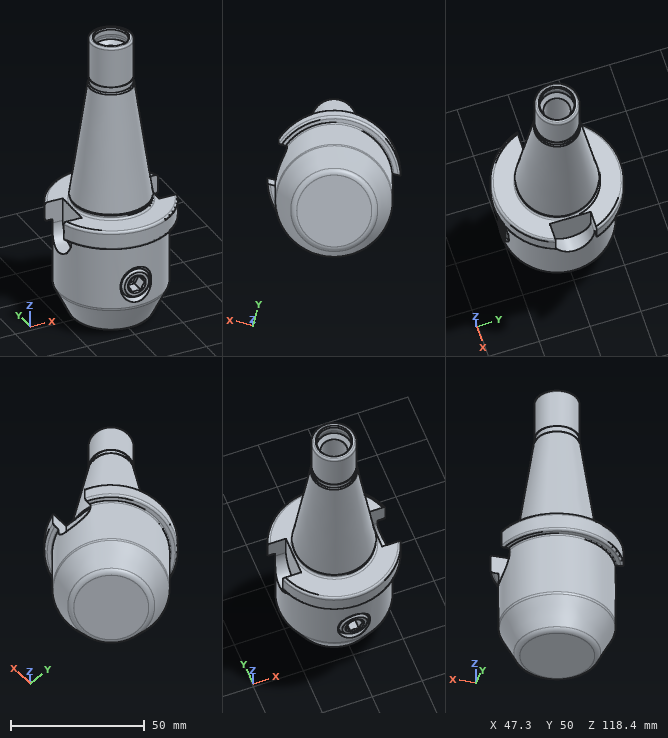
import cadquery as cq
import math

TAPER_RATIO = 7 / 24
GAUGE_DIA = 31.75
TAPER_LENGTH = 48.4
SHANK_LENGTH = 68.4
NOSE_LENGTH = 50.0

PILOT_DIA = 17.0
PILOT_EDGE_RADIUS = 0.8
PILOT_BOTTOM = 51.4
NECK_DIA = 16.6
NECK_BOTTOM = 49.0

TAPER_START = 0.6
UNDERCUT_DIA = 31.0
UNDERCUT_TOP = -0.1
UNDERCUT_FILLET = 0.8

FLANGE_DIA = 50.0
FLANGE_TOP = -1.6
FLANGE_THICKNESS = 8.0
FLANGE_EDGE_RADIUS = 1.0
FLANGE_ROOT_RADIUS = 0.5

BODY_DIA = 44.0
NOSE_CONE_TOP = -37.0
NOSE_FACE_DIA = 31.2
NOSE_SHOULDER_RADIUS = 2.2
NOSE_EDGE_RADIUS = 2.5

SLOT_WIDTH = 16.1
SLOT_FLAT_DISTANCE = 16.2
SLOT_BOTTOM = -19.1

BORE_MOUTH_DIA = 13.8
BORE_MOUTH_HALF_ANGLE = 30.0
COUNTERBORE_DIA = 13.0
COUNTERBORE_DEPTH = 2.6
GROOVE_DIA = 13.6
GROOVE_FLARE_LENGTH = 1.2
GROOVE_BOTTOM_DEPTH = 5.0
TAP_HOLE_DIA = 10.2
TAP_HOLE_DEPTH = 30.0
SEAT_HALF_ANGLE = 45.0
DRILL_HALF_ANGLE = 59.0

SCREW_Z = -27.4
SCREW_DIA = 12.0
SCREW_CHAMFER = 0.95
SCREW_FACE_DISTANCE = 21.8
SCREW_SINK_DIA = 15.0
SCREW_SINK_HALF_ANGLE = 45.0
SOCKET_MOUTH_DIA = 7.5
SOCKET_MOUTH_HALF_ANGLE = 60.0
SOCKET_FLATS = 6.0
SOCKET_FLOOR_FLATS = 4.8
SOCKET_DEPTH = 6.0
SOCKET_BOTTOM_DRAFT = 45.0


def rise(radial_step, half_angle):
    """Axial length of a cone whose radius changes by radial_step."""
    return radial_step / math.tan(math.radians(half_angle))


def make_outer_body():
    """Revolve the shank, flange and nose about Z."""
    taper_small_radius = (GAUGE_DIA - TAPER_RATIO * TAPER_LENGTH) / 2
    taper_large_radius = (GAUGE_DIA - TAPER_RATIO * TAPER_START) / 2
    pilot_radius = PILOT_DIA / 2
    neck_radius = NECK_DIA / 2
    undercut_radius = UNDERCUT_DIA / 2
    flange_bottom = FLANGE_TOP - FLANGE_THICKNESS
    profile = [
        (0, -NOSE_LENGTH),
        (NOSE_FACE_DIA / 2, -NOSE_LENGTH),
        (BODY_DIA / 2, NOSE_CONE_TOP),
        (BODY_DIA / 2, flange_bottom),
        (FLANGE_DIA / 2, flange_bottom),
        (FLANGE_DIA / 2, FLANGE_TOP),
        (undercut_radius, FLANGE_TOP),
        (undercut_radius, UNDERCUT_TOP),
        (taper_large_radius, TAPER_START),
        (taper_small_radius, TAPER_LENGTH),
        (neck_radius, NECK_BOTTOM),
        (neck_radius, PILOT_BOTTOM),
        (pilot_radius, PILOT_BOTTOM),
        (pilot_radius, SHANK_LENGTH),
        (0, SHANK_LENGTH),
    ]
    body = cq.Workplane("XZ").polyline(profile).close().revolve(360, (0, 0), (0, 1))

    fillets = [
        (NOSE_FACE_DIA, -NOSE_LENGTH, NOSE_EDGE_RADIUS),
        (BODY_DIA, NOSE_CONE_TOP, NOSE_SHOULDER_RADIUS),
        (BODY_DIA, flange_bottom, FLANGE_ROOT_RADIUS),
        (FLANGE_DIA, flange_bottom, FLANGE_EDGE_RADIUS),
        (FLANGE_DIA, FLANGE_TOP, FLANGE_EDGE_RADIUS),
        (UNDERCUT_DIA, FLANGE_TOP, UNDERCUT_FILLET),
        (PILOT_DIA, SHANK_LENGTH, PILOT_EDGE_RADIUS),
    ]
    for diameter, height, radius in fillets:
        body = body.edges(circle_at(diameter, height)).fillet(radius)
    return body


def circle_at(diameter, height):
    """Selector for the horizontal circle of a given diameter and height."""
    tolerance = 0.01
    reach = diameter / 2 + tolerance
    inner = diameter / 2 - tolerance
    outer_box = cq.selectors.BoxSelector(
        (-reach, -reach, height - tolerance), (reach, reach, height + tolerance), boundingbox=True)
    inner_box = cq.selectors.BoxSelector(
        (-inner, -inner, height - tolerance), (inner, inner, height + tolerance), boundingbox=True)
    return outer_box - inner_box


def make_drive_slot(side):
    """Round-bottomed slot cutter, open upwards; side is +1 or -1 along X."""
    slot_radius = SLOT_WIDTH / 2
    arc_centre = SLOT_BOTTOM + slot_radius
    depth = FLANGE_DIA / 2 - SLOT_FLAT_DISTANCE
    return (
        cq.Workplane("YZ", origin=(side * SLOT_FLAT_DISTANCE, 0, 0))
        .moveTo(-slot_radius, FLANGE_TOP)
        .lineTo(-slot_radius, arc_centre)
        .threePointArc((0, SLOT_BOTTOM), (slot_radius, arc_centre))
        .lineTo(slot_radius, FLANGE_TOP)
        .close()
        .extrude(side * depth)
    )


def make_shank_bore():
    """Blind threaded-hole bore with counterbore, conical seat and drill point."""
    mouth_radius = BORE_MOUTH_DIA / 2
    counterbore_radius = COUNTERBORE_DIA / 2
    groove_radius = GROOVE_DIA / 2
    tap_radius = TAP_HOLE_DIA / 2
    mouth_bottom = SHANK_LENGTH - rise(mouth_radius - counterbore_radius, BORE_MOUTH_HALF_ANGLE)
    counterbore_bottom = SHANK_LENGTH - COUNTERBORE_DEPTH
    groove_bottom = SHANK_LENGTH - GROOVE_BOTTOM_DEPTH
    seat_bottom = groove_bottom - rise(groove_radius - tap_radius, SEAT_HALF_ANGLE)
    tap_bottom = SHANK_LENGTH - TAP_HOLE_DEPTH
    profile = [
        (0, SHANK_LENGTH),
        (mouth_radius, SHANK_LENGTH),
        (counterbore_radius, mouth_bottom),
        (counterbore_radius, counterbore_bottom),
        (groove_radius, counterbore_bottom - GROOVE_FLARE_LENGTH),
        (groove_radius, groove_bottom),
        (tap_radius, seat_bottom),
        (tap_radius, tap_bottom),
        (0, tap_bottom - rise(tap_radius, DRILL_HALF_ANGLE)),
    ]
    return cq.Workplane("XZ").polyline(profile).close().revolve(360, (0, 0), (0, 1))


def revolve_about_screw_axis(profile):
    """Revolve (radius, distance towards -Y) points about the screw axis."""
    points = [(radius, -distance) for radius, distance in profile]
    screw_plane = cq.Workplane("XY", origin=(0, 0, SCREW_Z))
    return screw_plane.polyline(points).close().revolve(360, (0, 0), (0, 1))


def sink_bottom_distance():
    """Distance from the axis to the ring where the countersink meets the screw."""
    sink_step = (SCREW_SINK_DIA - SCREW_DIA) / 2
    return BODY_DIA / 2 - rise(sink_step, SCREW_SINK_HALF_ANGLE)


def make_screw_sink():
    """Countersink cutter around the screw."""
    sink_bottom = sink_bottom_distance()
    return revolve_about_screw_axis([
        (0, sink_bottom),
        (SCREW_DIA / 2, sink_bottom),
        (SCREW_SINK_DIA / 2, BODY_DIA / 2),
        (0, BODY_DIA / 2),
    ])


def make_screw_end():
    """Chamfered screw end standing in the countersink."""
    screw_radius = SCREW_DIA / 2
    screw_root = sink_bottom_distance() - SOCKET_DEPTH
    return revolve_about_screw_axis([
        (0, screw_root),
        (screw_radius, screw_root),
        (screw_radius, SCREW_FACE_DISTANCE - SCREW_CHAMFER),
        (screw_radius - SCREW_CHAMFER, SCREW_FACE_DISTANCE),
        (0, SCREW_FACE_DISTANCE),
    ])


def make_screw_socket():
    """Hexagon socket with a conical mouth and a bottom that narrows to the floor."""
    corners = SOCKET_FLATS / math.cos(math.pi / 6)
    bottom_height = rise((SOCKET_FLATS - SOCKET_FLOOR_FLATS) / 2, SOCKET_BOTTOM_DRAFT)
    straight_depth = SOCKET_DEPTH - bottom_height
    mouth_radius = SOCKET_MOUTH_DIA / 2
    mouth = revolve_about_screw_axis([
        (0, SCREW_FACE_DISTANCE),
        (mouth_radius, SCREW_FACE_DISTANCE),
        (0, SCREW_FACE_DISTANCE - rise(mouth_radius, SOCKET_MOUTH_HALF_ANGLE)),
    ])
    hexagon = (
        cq.Workplane("XZ", origin=(0, -SCREW_FACE_DISTANCE, SCREW_Z))
        .polygon(6, corners)
        .extrude(-straight_depth)
    )
    bottom = (
        cq.Workplane("XZ", origin=(0, straight_depth - SCREW_FACE_DISTANCE, SCREW_Z))
        .polygon(6, corners)
        .extrude(-bottom_height, taper=SOCKET_BOTTOM_DRAFT)
    )
    return hexagon.union(bottom).union(mouth)


part = make_outer_body()
for slot_side in (1, -1):
    part = part.cut(make_drive_slot(slot_side))
part = part.cut(make_shank_bore())
part = part.cut(make_screw_sink())
part = part.union(make_screw_end())
part = part.cut(make_screw_socket())
result = part